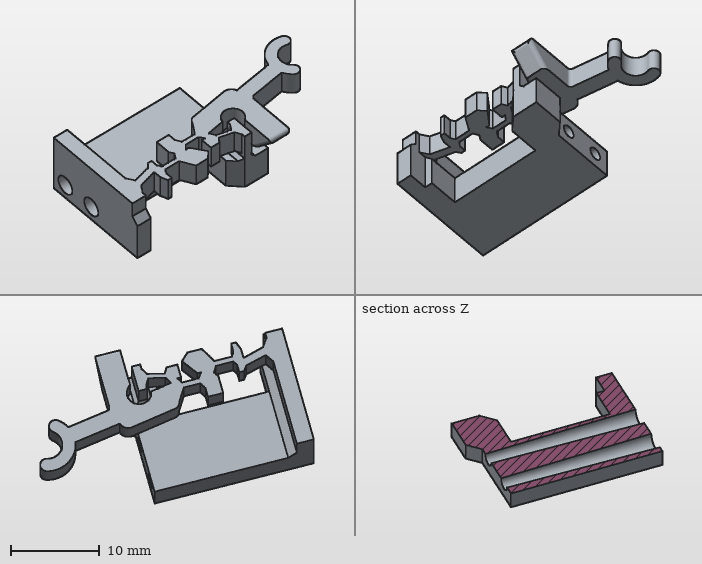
import cadquery as cq
import math

total_length = 30.55
base_height = 4.0
total_height = 8.0
arm_thickness = 3.0
arm_bottom = total_height - arm_thickness

wall_width = 14.6
wall_thickness = 2.0
wall_top_width = 13.72
wall_step_bottom = 5.07
wall_step_top = wall_step_bottom + wall_width - wall_top_width
root_chamfer = arm_bottom - base_height

spine_width = 8.22
base_left_length = 18.55
base_length = 19.98
pocket_front = wall_thickness + root_chamfer
pocket_back = 15.03
front_bar_right = 12.13
tip_chamfer = 1.53

hole_front_radius = 1.22
hole_back_radius = 0.82
hole_z = base_height / 2
hole_xs = (2.02, 6.55)

post_left = 10.7
post_right = wall_top_width
post_front = 16.53
post_back = 17.55
flare = 0.52

hook_x = 7.15
hook_inner_radius = 1.65
hook_outer_radius = 3.15
hook_start_angle = 162.6
hook_end_angle = 323
hook_end_radius = (hook_outer_radius - hook_inner_radius) / 2
hook_mid_radius = hook_inner_radius + hook_end_radius
hook_start_rise = hook_mid_radius * math.sin(math.radians(hook_start_angle))
hook_y = total_length - hook_end_radius - hook_start_rise

finger_front = 18.27
finger_back = 21.2
finger_tip_x = 16.07
finger_tip_radius = 0.43
finger_side_radius = 0.55
finger_root_x = 10.08

relief_x = 10.48
relief_y = 17.55
relief_radius = 1.37


def arm_layer(points):
    """Closed outline extruded through the thickness of the arm."""
    return cq.Workplane("XY").workplane(offset=arm_bottom).polyline(points).close().extrude(arm_thickness)


def base_prism(height):
    outline = [
        (0, 0),
        (wall_top_width, 0),
        (wall_top_width, wall_thickness),
        (front_bar_right, wall_thickness),
        (front_bar_right, pocket_front),
        (spine_width, pocket_front),
        (spine_width, pocket_back),
        (wall_top_width - tip_chamfer, pocket_back),
        (wall_top_width, pocket_back + tip_chamfer),
        (wall_top_width, base_length),
        (spine_width + base_length - base_left_length, base_length),
        (spine_width, base_left_length),
        (0, base_left_length),
    ]
    base = cq.Workplane("XY").polyline(outline).close()
    return base.extrude(height)


def make_wall():
    profile = [
        (0, 0),
        (wall_width, 0),
        (wall_width, wall_step_bottom),
        (wall_top_width, wall_step_top),
        (wall_top_width, total_height),
        (0, total_height),
    ]
    wall = cq.Workplane("XZ").polyline(profile).close().extrude(-wall_thickness)
    chamfer = [
        (wall_thickness, base_height),
        (pocket_front, base_height),
        (wall_thickness, arm_bottom),
    ]
    root = cq.Workplane("YZ").polyline(chamfer).close().extrude(front_bar_right)
    return wall.union(root)


def make_post():
    width = post_right - post_left
    depth = post_back - post_front
    column = cq.Workplane("XY").box(width, depth, total_height - base_height, centered=False)
    column = column.translate((post_left, post_front, base_height))
    foot_top = base_height + flare
    side = [
        (post_front - flare, base_height),
        (post_back + flare, base_height),
        (post_back, foot_top),
        (post_front, foot_top),
    ]
    front = [
        (post_left - flare, base_height),
        (post_right, base_height),
        (post_right, foot_top),
        (post_left, foot_top),
    ]
    foot = cq.Workplane("YZ").polyline(side).close().extrude(wall_width)
    foot = foot.intersect(cq.Workplane("XZ").polyline(front).close().extrude(-base_length))
    return column.union(foot.intersect(base_prism(total_height)))


def make_finger():
    apex_x = finger_tip_x + finger_tip_radius * math.sqrt(2)
    profile = [
        (finger_root_x, arm_bottom),
        (apex_x - arm_thickness, arm_bottom),
        (apex_x, total_height),
        (finger_root_x, total_height),
    ]
    wedge = cq.Workplane("XZ", origin=(0, finger_front, 0)).polyline(profile).close()
    wedge = wedge.extrude(finger_front - finger_back)
    rounded_tip = wedge.edges("|Y and >X").fillet(finger_tip_radius)
    diagonal = cq.selectors.ParallelDirSelector(cq.Vector(1, 0, 1))
    rounded_sides = wedge.edges(diagonal).fillet(finger_side_radius)
    return rounded_sides.intersect(rounded_tip)


def make_hook():
    def on_circle(radius, degrees):
        angle = math.radians(degrees)
        return (hook_x + radius * math.cos(angle), hook_y + radius * math.sin(angle))

    middle = (hook_start_angle + hook_end_angle) / 2
    hook = (
        cq.Workplane("XY").workplane(offset=arm_bottom)
        .moveTo(*on_circle(hook_outer_radius, hook_start_angle))
        .threePointArc(on_circle(hook_outer_radius, middle), on_circle(hook_outer_radius, hook_end_angle))
        .tangentArcPoint(on_circle(hook_inner_radius, hook_end_angle), relative=False)
        .threePointArc(on_circle(hook_inner_radius, middle), on_circle(hook_inner_radius, hook_start_angle))
        .tangentArcPoint(on_circle(hook_outer_radius, hook_start_angle), relative=False)
        .close()
    )
    return hook.extrude(arm_thickness)


def make_lever():
    body = (
        cq.Workplane("XY").workplane(offset=arm_bottom)
        .moveTo(6.57, 26.43)
        .lineTo(7.5, 20.62)
        .threePointArc((6.9, 20.2), (6.72, 19.25))
        .lineTo(7.58, 14.18)
        .threePointArc((7.8, 13.72), (8.22, 13.47))
        .lineTo(9.78, 12.53)
        .lineTo(10.42, 12.53)
        .lineTo(11.03, 12.95)
        .lineTo(11.03, 12.5)
        .lineTo(12.62, 12.5)
        .lineTo(12.62, 13.78)
        .lineTo(11.95, 14.18)
        .lineTo(11.45, 14.2)
        .lineTo(10.7, 13.78)
        .lineTo(10.15, 16.95)
        .lineTo(10.15, finger_back)
        .lineTo(9.8, finger_back)
        .threePointArc((9.45, 21.35), (9.32, 21.65))
        .lineTo(8.52, 26.67)
        .close()
        .extrude(arm_thickness)
    )
    relief = (
        cq.Workplane("XY").center(relief_x, relief_y)
        .circle(relief_radius).extrude(total_height)
    )
    return body.union(make_finger()).cut(relief).union(make_hook())


def make_flexure():
    chain = arm_layer([
        (10.15, wall_thickness),
        (11.12, 2.63),
        (10.48, 5.07),
        (9.93, 5.47),
        (9.93, 6.02),
        (10.8, 6.02),
        (11.33, 6.35),
        (11.33, 8.37),
        (10.65, 8.77),
        (10.05, 8.4),
        (8.0, 8.4),
        (8.0, 10.17),
        (9.05, 10.17),
        (9.78, 10.6),
        (9.78, 12.53),
        (10.42, 12.53),
        (10.42, 10.6),
        (11.03, 10.17),
        (11.03, 10.6),
        (12.85, 11.9),
        (13.72, 11.05),
        (13.72, 9.38),
        (11.95, 8.37),
        (11.95, 6.35),
        (12.5, 6.02),
        (13.47, 6.02),
        (13.47, 5.47),
        (12.5, 5.1),
        (11.45, 5.1),
        (12.13, 2.65),
        (13.15, wall_thickness),
    ])
    post_web = arm_layer([
        (11.45, 14.18),
        (11.88, 16.1),
        (11.18, post_front),
        (13.2, post_front),
        (12.43, 16.1),
        (11.95, 14.18),
    ])
    return chain.union(post_web)


def make_hole(x):
    return cq.Workplane(
        cq.Solid.makeCone(
            hole_front_radius, hole_back_radius, base_left_length,
            cq.Vector(x, 0, hole_z), cq.Vector(0, 1, 0),
        )
    )


result = base_prism(base_height).union(make_wall()).union(make_post())
result = result.union(make_lever()).union(make_flexure())
for hole_x in hole_xs:
    result = result.cut(make_hole(hole_x))